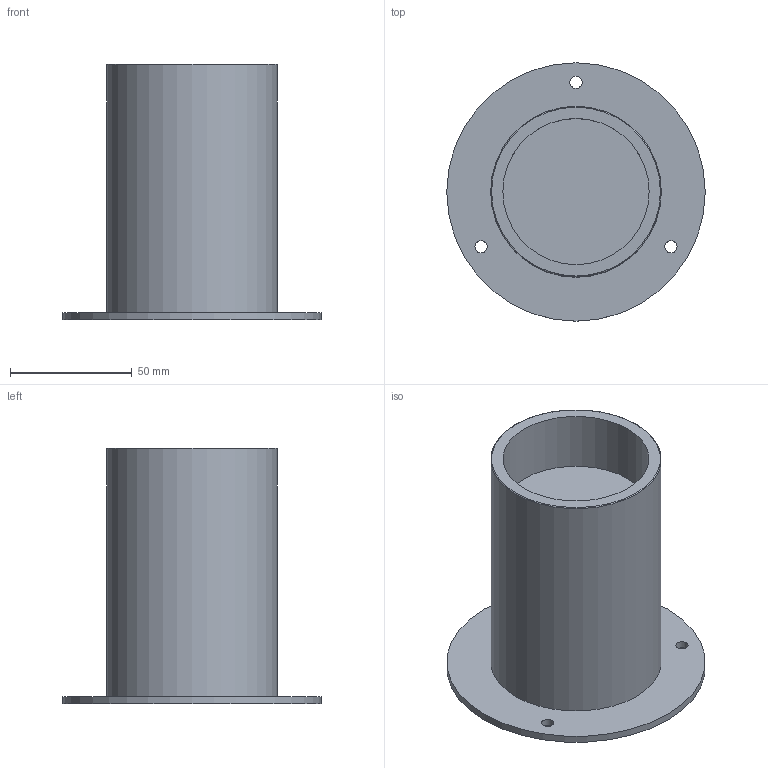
import cadquery as cq

total_height = 105.0
flange_diameter = 106.0
flange_thickness = 3.0

body_diameter = 70.0
rim_fillet_radius = 0.35
pocket_diameter = 60.0
pocket_depth = 25.0

hole_count = 3
hole_diameter = 5.0
hole_circle_radius = 45.0
first_hole_angle = 90.0
full_turn = 360.0


def make_flange():
    """Round base plate with evenly spaced mounting holes."""
    plate = cq.Workplane("XY").circle(flange_diameter / 2).extrude(flange_thickness)
    holes = (
        cq.Workplane("XY")
        .polarArray(hole_circle_radius, first_hole_angle, full_turn, hole_count)
        .circle(hole_diameter / 2)
        .extrude(flange_thickness)
    )
    return plate.cut(holes)


def make_body():
    """Upright cylinder on the base plane, with its outer top edge rounded."""
    cylinder = cq.Workplane("XY").circle(body_diameter / 2).extrude(total_height)
    return cylinder.faces(">Z").edges().fillet(rim_fillet_radius)


def make_pocket():
    """Flat-bottomed pocket volume open at the top of the body."""
    pocket_floor = total_height - pocket_depth
    return (
        cq.Workplane("XY")
        .workplane(offset=pocket_floor)
        .circle(pocket_diameter / 2)
        .extrude(pocket_depth)
    )


result = make_flange().union(make_body()).cut(make_pocket())